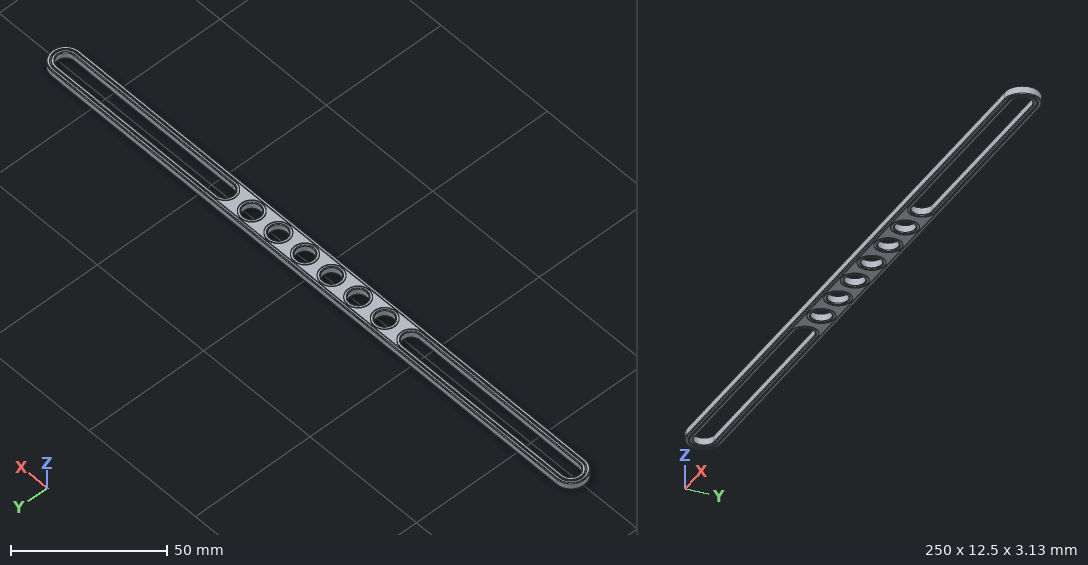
import cadquery as cq

length = 250.0
width = 12.5
thickness = width / 4
edge_chamfer = 0.3

opening_width = 7.0
pitch = width
hole_count = 6
slot_outer_center = (length - width) / 2
slot_inner_center = (hole_count + 1) * pitch / 2
slot_travel = slot_outer_center - slot_inner_center
slot_middle = (slot_outer_center + slot_inner_center) / 2

opening_rim_width = 9.2
rim = (opening_rim_width - opening_width) / 2
recess_depth = 0.2

hole_points = [((i - (hole_count - 1) / 2) * pitch, 0) for i in range(hole_count)]
slot_points = [(-slot_middle, 0), (slot_middle, 0)]


def make_strip(inset, bottom, height):
    """Round-ended strip, set in from the outline and rising from the bottom level."""
    plane = cq.Workplane("XY").workplane(offset=bottom)
    return plane.slot2D(length - 2 * inset, width - 2 * inset).extrude(height)


def make_openings(clear_width, bottom, height):
    """Solids filling all holes and slots at the given width, rising from the bottom level."""
    plane = cq.Workplane("XY").workplane(offset=bottom)
    holes = plane.pushPoints(hole_points).circle(clear_width / 2).extrude(height)
    slots = plane.pushPoints(slot_points).slot2D(slot_travel + clear_width, clear_width).extrude(height)
    return holes.union(slots)


def make_recess(bottom):
    """Shallow layer to remove from one face, leaving the rims standing."""
    layer = make_strip(rim, bottom, recess_depth)
    return layer.cut(make_openings(opening_rim_width, bottom, recess_depth))


top_level = thickness / 2
bottom_level = -thickness / 2

bar = make_strip(0, bottom_level, thickness)
bar = bar.cut(make_openings(opening_width, bottom_level, thickness))
bar = bar.faces("|Z").edges().chamfer(edge_chamfer)

bar = bar.cut(make_recess(top_level - recess_depth))
bar = bar.cut(make_recess(bottom_level))

result = bar